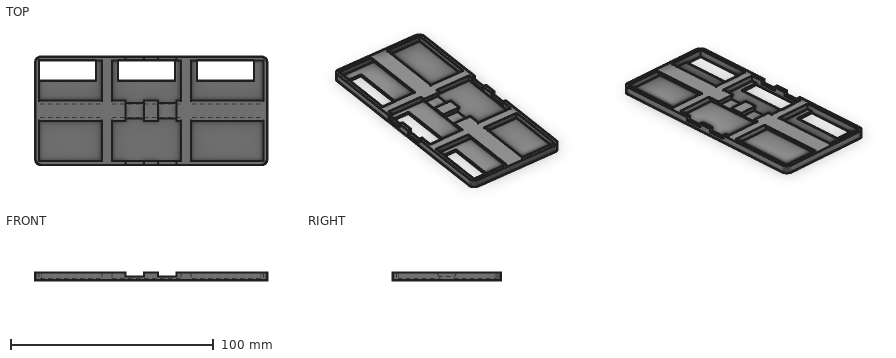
import cadquery as cq
import math

LENGTH = 114.5
WIDTH = 53.5
HEIGHT = 4.0
CORNER_RADIUS = 3.0
WALL = 1.9

FLOOR = 1.0
BAY_LENGTHS = (31.0, 34.0, 35.7)
CROSS_BAR = 5.0

MIDDLE_BAR = 10.0
UNDERCUT_ANGLE = 30.0

WINDOW_LENGTH = 28.0
WINDOW_WIDTH = 10.0
WINDOW_OFFSETS = (0.0, 3.0, 3.0)

NOTCH_LENGTH = 9.0
NOTCH_FLOOR = 2.0
TAB_LENGTH = 7.0
TAB_CENTER = -0.15

inner_length = LENGTH - 2 * WALL
inner_width = WIDTH - 2 * WALL
left_inside = -inner_length / 2
back_inside = inner_width / 2


def block(x_min, y_min, z_min, length, width, height):
    """Axis-aligned block placed by its lowest corner."""
    return cq.Workplane("XY").box(length, width, height, centered=False).translate((x_min, y_min, z_min))


def tray_blank():
    """Solid plate with rounded vertical corners."""
    plate = cq.Workplane("XY").box(LENGTH, WIDTH, HEIGHT, centered=(True, True, False))
    return plate.edges("|Z").fillet(CORNER_RADIUS)


def cut_bays(body):
    """Bays down to the floor, each with a window through the floor at the back."""
    bay_left = left_inside
    for bay_length, window_offset in zip(BAY_LENGTHS, WINDOW_OFFSETS):
        bay = block(bay_left, -back_inside, FLOOR, bay_length, inner_width, HEIGHT)
        window_left = bay_left + window_offset
        window_front = back_inside - WINDOW_WIDTH
        window = block(window_left, window_front, 0, WINDOW_LENGTH, WINDOW_WIDTH, HEIGHT)
        body = body.cut(bay).cut(window)
        bay_left += bay_length + CROSS_BAR
    return body


def middle_bar():
    """Dovetail-section bar between the end walls, narrower at the floor than at the top."""
    setback = (HEIGHT - FLOOR) * math.tan(math.radians(UNDERCUT_ANGLE))
    top_half = MIDDLE_BAR / 2
    floor_half = top_half - setback
    section = [(-floor_half, FLOOR), (floor_half, FLOOR), (top_half, HEIGHT), (-top_half, HEIGHT)]
    bar = cq.Workplane("YZ").polyline(section).close().extrude(inner_length)
    return bar.translate((left_inside, 0, 0))


def cut_notches(body):
    """Notches through both long walls and the middle bar, one on each side of the tab."""
    tab_left = TAB_CENTER - TAB_LENGTH / 2
    tab_right = TAB_CENTER + TAB_LENGTH / 2
    for notch_left in (tab_left - NOTCH_LENGTH, tab_right):
        body = body.cut(block(notch_left, -WIDTH / 2, NOTCH_FLOOR, NOTCH_LENGTH, WIDTH, HEIGHT))
    return body


result = cut_notches(cut_bays(tray_blank()).union(middle_bar()))